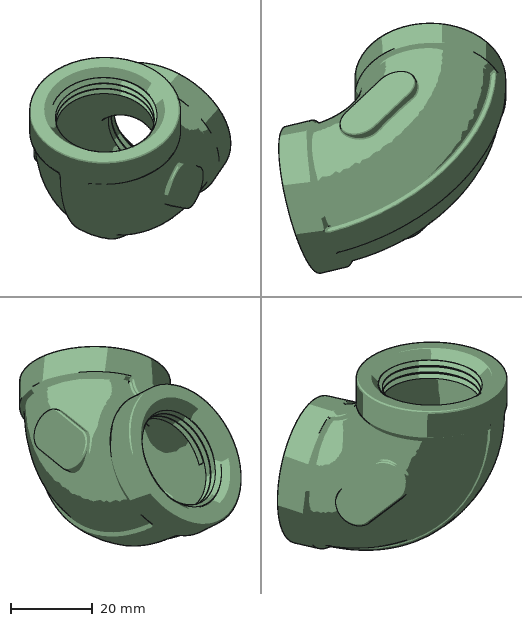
import cadquery as cq
import math


collar_radius = 18.55
body_radius = 17.4
bore_radius = 12.05
bend_radius = 26.1
collar_height = 7.15
collar_edge_fillet = 0.5

rib_half_width = 3.75
step_offset = 0.25
step_corner_fillet = 0.8
step_base_fillet = 0.5
step_top_fillet = 0.5

pad_length = 12.45
pad_end_radius = 5.4
pad_fillet = 0.5

mouth_radius = 14.8
mouth_fillet = 0.35

thread_pitch = 1.8
thread_root_radius = 13.2
thread_half_angle = 35.0
thread_top_depth = 1.65
thread_full_turns = 3
thread_lead_out = 0.5
thread_end_angle = 20.0

port_distance = bend_radius + collar_height
pad_centre = bend_radius * (1 - math.sqrt(0.5))
clearance = 1.55
thread_overlap = 0.08
tolerance = 0.01
everywhere = 4 * port_distance


def to_second_port(shape):
    """Swing a shape from the +Z port to the +Y port."""
    return shape.rotate((0, 0, 0), (1, 0, 0), -90)


def port_cylinder(radius):
    """Cylinder on the +Z port axis, from the end of the bend to the port face."""
    return cq.Workplane("XY", origin=(0, 0, bend_radius)).circle(radius).extrude(collar_height)


def elbow(radius):
    """Solid round bar: a straight length at each port joined by the bend."""
    section = cq.Workplane("XY", origin=(0, 0, bend_radius)).circle(radius)
    bend = section.revolve(90, (-0.5, bend_radius, 0), (0.5, bend_radius, 0))
    straight = port_cylinder(radius)
    return bend.union(straight).union(to_second_port(straight))


def distance_from_centreline(point):
    """Distance to the port axes in the straight lengths, or to the centre arc in the bend."""
    if point.z > bend_radius:
        return math.hypot(point.x, point.y)
    if point.y > bend_radius:
        return math.hypot(point.x, point.z)
    in_plane = math.hypot(point.y - bend_radius, point.z - bend_radius) - bend_radius
    return math.hypot(point.x, in_plane)


def edges_at_radius(shape, radius):
    """Edges on the +X side, off the ribs and port faces, at one distance from the centreline."""
    found = []
    for edge in shape.edges().vals():
        points = [edge.positionAt(t) for t in (0.2, 0.5, 0.8)]
        on_radius = all(abs(distance_from_centreline(p) - radius) < tolerance for p in points)
        off_ends = all(max(p.y, p.z) < port_distance - tolerance for p in points)
        beside_rib = all(p.x > rib_half_width - tolerance for p in points)
        if on_radius and off_ends and beside_rib:
            found.append(edge)
    return shape.newObject(found)


def collar_keepout():
    """Collar disc with a 45 degree underside, oversize so that it bounds the recess cleanly."""
    step_z = bend_radius - step_offset
    outer = collar_radius + 2 * clearance
    inner = body_radius - clearance
    profile = (
        cq.Workplane("XZ")
        .moveTo(0, port_distance + clearance)
        .lineTo(outer, port_distance + clearance)
        .lineTo(outer, step_z + outer - collar_radius)
        .lineTo(inner, step_z + inner - collar_radius)
        .lineTo(0, step_z + inner - collar_radius)
        .close()
    )
    return profile.revolve(360, (0, 0, 0), (0, 1, 0))


def side_recess():
    """Material removed on the +X side between the two ribs and the two collars."""
    keepout = collar_keepout()
    beside_rib = (
        cq.Workplane("YZ", origin=(rib_half_width, 0, 0))
        .rect(everywhere, everywhere)
        .extrude(everywhere)
    )
    recess = elbow(collar_radius + clearance).cut(elbow(body_radius))
    recess = recess.intersect(beside_rib)
    recess = recess.cut(keepout).cut(to_second_port(keepout))

    def is_corner(edge):
        box = edge.BoundingBox()
        curved = edge.geomType() in ("HYPERBOLA", "BSPLINE")
        return curved and box.xlen < tolerance

    corners = [edge for edge in recess.edges().vals() if is_corner(edge)]
    recess = recess.newObject(corners).fillet(step_corner_fillet)
    return edges_at_radius(recess, body_radius).fillet(step_base_fillet)


def pad():
    """Flat-topped rounded pad on the +X side, centred on the bend and lying along it."""
    pad_root = bore_radius + clearance
    return (
        cq.Workplane("YZ", origin=(pad_root, pad_centre, pad_centre))
        .slot2D(pad_length + 2 * pad_end_radius, 2 * pad_end_radius, -45)
        .extrude(collar_radius - pad_root)
        .faces(">X").edges().fillet(pad_fillet)
    )


def pad_base_edges(shape):
    """Edges where the +X pad stands on the body."""
    reach = pad_length / 2 + pad_end_radius + tolerance
    found = []
    for edge in edges_at_radius(shape, body_radius).vals():
        points = [edge.positionAt(t) for t in (0.2, 0.5, 0.8)]
        if all(math.hypot(p.y - pad_centre, p.z - pad_centre) < reach for p in points):
            found.append(edge)
    return shape.newObject(found)


def finish_side(shape):
    """Cut the +X recess, round its rim and add the pad."""
    shape = shape.cut(side_recess())
    shape = edges_at_radius(shape, collar_radius).fillet(step_top_fillet)
    shape = shape.union(pad())
    return pad_base_edges(shape).fillet(pad_fillet)


def mouth():
    """Countersink that opens a port down to the bore."""
    depth = mouth_radius - bore_radius
    return (
        cq.Workplane("XZ")
        .moveTo(0, port_distance)
        .lineTo(mouth_radius, port_distance)
        .lineTo(bore_radius, port_distance - depth)
        .lineTo(0, port_distance - depth)
        .close()
        .revolve(360, (0, 0, 0), (0, 1, 0))
    )


def thread_core():
    """Bore plug of one port carrying a right-hand V ridge, which cuts the thread groove."""
    end_rise = thread_pitch * thread_end_angle / 360
    start_z = port_distance - thread_top_depth - thread_full_turns * thread_pitch + end_rise
    height = (thread_full_turns + thread_lead_out) * thread_pitch
    inner = bore_radius - thread_overlap
    half_width = (thread_root_radius - inner) * math.tan(math.radians(thread_half_angle))
    path = cq.Wire.makeHelix(thread_pitch, height, bore_radius, cq.Vector(0, 0, start_z))
    ridge = (
        cq.Workplane("XZ")
        .moveTo(inner, start_z - half_width)
        .lineTo(thread_root_radius, start_z)
        .lineTo(inner, start_z + half_width)
        .close()
        .sweep(cq.Workplane(path), isFrenet=True)
        .rotate((0, 0, 0), (0, 0, 1), 180 + thread_end_angle)
    )
    return port_cylinder(bore_radius).union(ridge)


def port_circles(shape, radius):
    """Circular edges of one radius lying in the two port faces."""
    found = []
    for edge in shape.edges("%CIRCLE").vals():
        centre = edge.Center()
        on_face = max(centre.y, centre.z) > port_distance - tolerance
        if on_face and abs(edge.radius() - radius) < tolerance:
            found.append(edge)
    return shape.newObject(found)


fitting = elbow(collar_radius)
for _ in range(2):
    fitting = finish_side(fitting).mirror("YZ")

fitting = fitting.cut(elbow(bore_radius))
fitting = fitting.cut(mouth()).cut(to_second_port(mouth()))
fitting = port_circles(fitting, collar_radius).fillet(collar_edge_fillet)
fitting = port_circles(fitting, mouth_radius).fillet(mouth_fillet)

core = thread_core()
result = fitting.cut(core).cut(to_second_port(core))